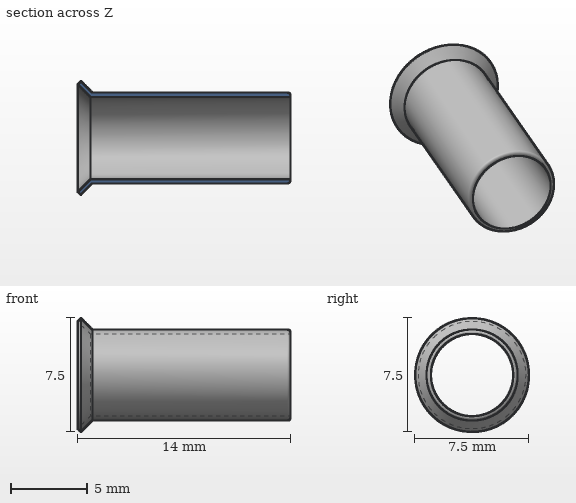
import cadquery as cq
import math

length = 14.0
tube_radius = 3.0
wall = 0.3
flare_radius = 3.75
flare_angle = math.radians(45.0)
end_round = 0.2

bore_radius = tube_radius - wall

rim_x = wall * math.sin(flare_angle)
mouth_radius = flare_radius - wall * math.cos(flare_angle)
outer_flare_end = rim_x + (flare_radius - tube_radius) / math.tan(flare_angle)
inner_flare_end = (mouth_radius - bore_radius) / math.tan(flare_angle)


def sleeve_body():
    """Revolve the wall section (X, radius) around the X axis."""
    section = (
        cq.Workplane("XY")
        .moveTo(0, mouth_radius)
        .lineTo(rim_x, flare_radius)
        .lineTo(outer_flare_end, tube_radius)
        .lineTo(length - end_round, tube_radius)
        .radiusArc((length, tube_radius - end_round), end_round)
        .lineTo(length, bore_radius)
        .lineTo(inner_flare_end, bore_radius)
        .close()
    )
    return section.revolve(360, (0, 0, 0), (1, 0, 0))


result = sleeve_body()